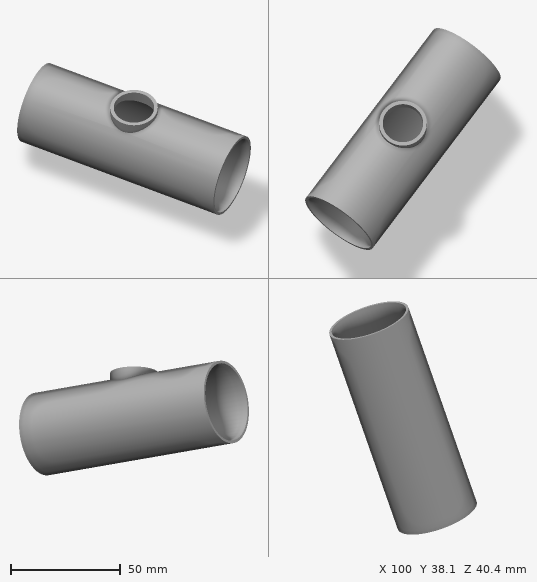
import cadquery as cq

pipe_length = 100.0
pipe_outer_diameter = 38.1
pipe_inner_diameter = 35.7

branch_outer_diameter = 21.7
branch_inner_diameter = 18.4
overall_height = 40.4
branch_top = overall_height - pipe_outer_diameter / 2


def pipe_cylinder(diameter):
    """Solid cylinder along X over the full pipe length."""
    return cq.Workplane("YZ").circle(diameter / 2).extrude(pipe_length / 2, both=True)


def branch_cylinder(diameter):
    """Solid cylinder along Z from the pipe axis to the branch rim."""
    return cq.Workplane("XY").circle(diameter / 2).extrude(branch_top)


outer_body = pipe_cylinder(pipe_outer_diameter).union(branch_cylinder(branch_outer_diameter))

result = outer_body.cut(pipe_cylinder(pipe_inner_diameter)).cut(branch_cylinder(branch_inner_diameter))